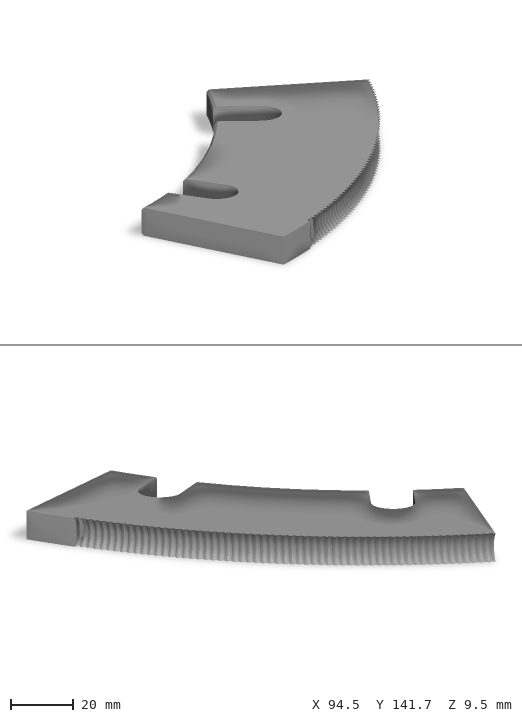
import cadquery as cq
import math

outer_radius = 211.5
inner_radius = 158.0
thickness = 9.5
sector_angle = 42.2
inner_chamfer = 0.9

slot_radius = 7.1
slot_center_radius = 172.5
slot_angles = (0.2 * sector_angle, 0.8 * sector_angle)

throat_start_angle = 5.3
crest_edge_radius = 211.0
worm_root_radius = 5.7
tooth_depth = 0.5
tooth_count = 58
groove_width_ratio = 0.9

half_thickness = thickness / 2
worm_axis_radius = crest_edge_radius + math.sqrt(worm_root_radius**2 - half_thickness**2)
toothed_angle = sector_angle - throat_start_angle
pitch_angle = toothed_angle / tooth_count
pitch = math.radians(pitch_angle) * crest_edge_radius
lead_angle = math.degrees(math.atan(pitch / (2 * math.pi * worm_root_radius)))


def make_sector():
    """Ring sector with both edges of its inner arc chamfered."""
    profile = [
        (inner_radius + inner_chamfer, -half_thickness),
        (outer_radius, -half_thickness),
        (outer_radius, half_thickness),
        (inner_radius + inner_chamfer, half_thickness),
        (inner_radius, half_thickness - inner_chamfer),
        (inner_radius, inner_chamfer - half_thickness),
    ]
    return cq.Workplane("XZ").polyline(profile).close().revolve(sector_angle, (0, 0), (0, 1))


def make_slot(angle):
    """Round-ended radial slot cutter, passing through the full thickness."""
    length = 2 * (slot_center_radius - inner_radius + slot_radius)
    straight = cq.Workplane("XY").box(length, 2 * slot_radius, thickness)
    straight = straight.translate((slot_center_radius - length / 2, 0, 0))
    round_end = cq.Workplane("XY").cylinder(thickness, slot_radius)
    round_end = round_end.translate((slot_center_radius, 0, 0))
    return straight.union(round_end).rotate((0, 0, 0), (0, 0, 1), angle)


def make_throat():
    """Concave channel following the outer edge, reaching down to the tooth crests."""
    channel = cq.Workplane("XZ").center(worm_axis_radius, 0).circle(worm_root_radius)
    channel = channel.revolve(toothed_angle, (-worm_axis_radius, 0), (-worm_axis_radius, 1))
    return channel.rotate((0, 0, 0), (0, 0, 1), throat_start_angle)


def make_groove():
    """V-edged disk on the worm axis, tilted by the lead angle of the worm."""
    half_width = groove_width_ratio * pitch / 2
    profile = [
        (0, -half_width),
        (worm_root_radius, -half_width),
        (worm_root_radius + tooth_depth, 0),
        (worm_root_radius, half_width),
        (0, half_width),
    ]
    disk = cq.Workplane("XY").polyline(profile).close().revolve(360, (0, 0), (0, 1))
    return disk.rotate((0, 0, 0), (1, 0, 0), lead_angle).translate((worm_axis_radius, 0, 0))


result = make_sector()
for slot_angle in slot_angles:
    result = result.cut(make_slot(slot_angle))
result = result.cut(make_throat())

groove = make_groove().val()
grooves = []
for index in range(tooth_count + 1):
    groove_angle = throat_start_angle + (index - 0.5) * pitch_angle
    grooves.append(groove.rotate(cq.Vector(0, 0, 0), cq.Vector(0, 0, 1), groove_angle))
result = cq.Workplane("XY").newObject([result.val().cut(*grooves)])